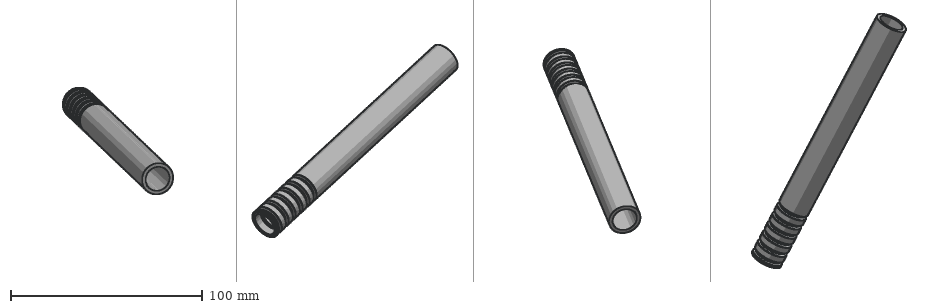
import cadquery as cq

length = 150.0
outer_diameter = 17.0
bore_diameter = 13.0
outer_radius = outer_diameter / 2
bore_radius = bore_diameter / 2
x_start = -length / 2
x_end = length / 2

outer_groove_count = 6
outer_groove_pitch = 5.81
first_groove_offset = 2.45
outer_groove_width = 2.6
throat_width = 1.98
rim_bevel_depth = 0.12
root_width = 0.54
outer_groove_depth = 1.19

face_groove_inner_diameter = 15.26
face_groove_outer_diameter = 15.86
face_groove_depth = 0.5

bore_groove_offset = 4.5
bore_groove_width = 1.5
bore_groove_diameter = 15.26


def revolve_about_axis(points):
    """Turn a closed (x, radius) outline a full turn about the X axis."""
    return cq.Workplane("XY").polyline(points).close().revolve(360, (0, 0, 0), (1, 0, 0))


def make_ring(x_near, x_far, inner_radius, ring_radius):
    """Plain ring between two stations on the X axis."""
    return revolve_about_axis(
        [
            (x_near, inner_radius),
            (x_far, inner_radius),
            (x_far, ring_radius),
            (x_near, ring_radius),
        ]
    )


def make_outer_groove(center_x):
    """Cutter for one outside groove, symmetric about center_x."""
    half_profile = [
        (outer_groove_width / 2, outer_radius),
        (throat_width / 2, outer_radius - rim_bevel_depth),
        (root_width / 2, outer_radius - outer_groove_depth),
    ]
    near_side = [(center_x - offset, radius) for offset, radius in half_profile]
    far_side = [(center_x + offset, radius) for offset, radius in reversed(half_profile)]
    return revolve_about_axis(near_side + far_side)


def make_face_groove():
    """Cutter for the ring groove in the end face."""
    return make_ring(
        x_start,
        x_start + face_groove_depth,
        face_groove_inner_diameter / 2,
        face_groove_outer_diameter / 2,
    )


def make_bore_groove():
    """Cutter for the groove in the bore wall; its inner side lies in the open bore."""
    x_near = x_start + bore_groove_offset
    return make_ring(x_near, x_near + bore_groove_width, bore_radius / 2, bore_groove_diameter / 2)


result = make_ring(x_start, x_end, bore_radius, outer_radius)
for index in range(outer_groove_count):
    groove_center = x_start + first_groove_offset + index * outer_groove_pitch
    result = result.cut(make_outer_groove(groove_center))
result = result.cut(make_face_groove())
result = result.cut(make_bore_groove())